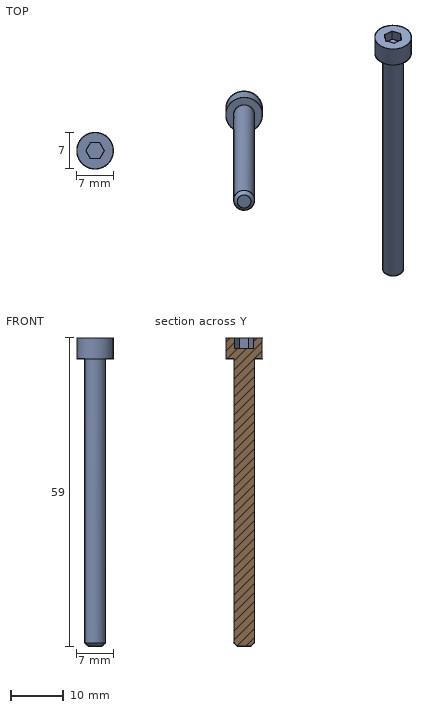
import cadquery as cq
import math

total_length = 59.0
head_diameter = 7.0
shank_diameter = 4.0
head_height = shank_diameter

tip_chamfer = 0.7

socket_sides = 6
socket_across_flats = 3.05
socket_depth = 2.0

shank_length = total_length - head_height


def make_shank():
    """Plain cylinder with a chamfered tip at Z = 0."""
    shank = cq.Workplane("XY").circle(shank_diameter / 2).extrude(shank_length)
    return shank.faces("<Z").chamfer(tip_chamfer)


def make_head():
    """Cylindrical head sitting on the shank."""
    return cq.Workplane("XY", origin=(0, 0, shank_length)).circle(head_diameter / 2).extrude(head_height)


def make_socket():
    """Blind hexagon cut with two corners on the X axis."""
    across_corners = socket_across_flats / math.cos(math.pi / socket_sides)
    return cq.Workplane("XY", origin=(0, 0, total_length)).polygon(socket_sides, across_corners).extrude(-socket_depth)


result = make_shank().union(make_head()).cut(make_socket())